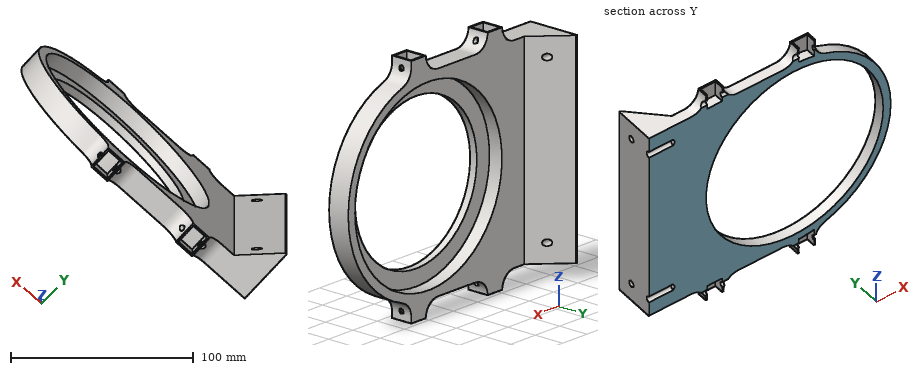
import cadquery as cq
import math

length = 165.8
plate_thickness = 14.1
ring_radius = 66.0
ring_x = length - ring_radius
bore_diameter = 100.0
recess_diameter = 120.8
lip_thickness = 5.0

flange_depth = 34.0
flange_tip_width = 1.0
flange_foot_x = flange_tip_width + flange_depth - plate_thickness
screw_diameter = 4.0
screw_z = 53.7
back_screw_y = 22.9
front_screw_depth = 16.5
drill_point_angle = 118.0

overall_height = 152.0
post_top_z = overall_height / 2
post_height = post_top_z - ring_radius
flare_radius = post_height
post_width = 12.1
post_centers_x = (45.1, 107.9)
socket_wall = 1.0
pin_diameter = 3.1
pin_below_top = 5.6
pin_z = post_top_z - pin_below_top
mid_y = plate_thickness / 2


def make_plate():
    """Rectangular body with a half-round right end."""
    body = cq.Workplane("XY").box(
        ring_x, plate_thickness, 2 * ring_radius, centered=(False, False, True)
    )
    ring = cq.Workplane("XZ", origin=(ring_x, 0, 0)).circle(ring_radius).extrude(-plate_thickness)
    return body.union(ring)


def make_flange():
    """Full-height wedge rising behind the left end of the plate."""
    return (
        cq.Workplane("XY", origin=(0, 0, -ring_radius))
        .polyline([
            (0, 0),
            (flange_foot_x, 0),
            (flange_foot_x, plate_thickness),
            (flange_tip_width, flange_depth),
            (0, flange_depth),
        ])
        .close()
        .extrude(2 * ring_radius)
    )


def flare_arc(center_x, side):
    """Return the top z, middle and foot of one flare; side is -1 for left, +1 for right."""
    flare_x = center_x + side * (post_width / 2 + flare_radius)
    offset = max(flare_x - ring_x, 0)
    if offset > 0:
        flare_z = math.sqrt((ring_radius + flare_radius) ** 2 - offset**2)
    else:
        flare_z = post_top_z
    lean = math.atan2(offset, flare_z)
    foot = (flare_x - flare_radius * math.sin(lean), flare_z - flare_radius * math.cos(lean))
    half_turn = (math.pi / 2 + lean) / 2
    middle = (
        flare_x - side * flare_radius * math.sin(half_turn),
        flare_z - flare_radius * math.cos(half_turn),
    )
    return flare_z, middle, foot


def make_post(center_x):
    """Upper hollow post with a flare on each side, rooted inside the plate."""
    left_x = center_x - post_width / 2
    right_x = center_x + post_width / 2
    _, left_middle, left_foot = flare_arc(center_x, -1)
    right_z, right_middle, right_foot = flare_arc(center_x, 1)
    root_z = recess_diameter / 2
    outline = (
        cq.Workplane("XZ")
        .moveTo(left_foot[0], root_z)
        .lineTo(*left_foot)
        .threePointArc(left_middle, (left_x, post_top_z))
        .lineTo(right_x, post_top_z)
    )
    if right_z < post_top_z:
        outline = outline.lineTo(right_x, right_z)
    post = (
        outline.threePointArc(right_middle, right_foot)
        .lineTo(right_foot[0], root_z)
        .close()
        .extrude(-plate_thickness)
    )
    socket_depth = post_top_z - root_z
    socket = cq.Workplane("XY").box(
        post_width - 2 * socket_wall,
        plate_thickness - 2 * socket_wall,
        socket_depth,
    ).translate((center_x, mid_y, post_top_z - socket_depth / 2))
    return post.cut(socket)


def make_pin_hole(center_x):
    """Cross hole through an upper post along X."""
    pin_length = post_width + 2 * flare_radius
    return (
        cq.Workplane("YZ", origin=(center_x - pin_length / 2, mid_y, pin_z))
        .circle(pin_diameter / 2)
        .extrude(pin_length)
    )


def make_screw_holes():
    """Upper pair: a through hole in the wedge and a blind drilled hole in the plate."""
    through = (
        cq.Workplane("YZ", origin=(0, back_screw_y, screw_z))
        .circle(screw_diameter / 2)
        .extrude(flange_foot_x)
    )
    radius = screw_diameter / 2
    point_length = radius / math.tan(math.radians(drill_point_angle / 2))
    blind = (
        cq.Workplane("XY", origin=(0, mid_y, screw_z))
        .polyline([
            (0, 0),
            (front_screw_depth + point_length, 0),
            (front_screw_depth, radius),
            (0, radius),
        ])
        .close()
        .revolve(360, (0, 0), (1, 0))
    )
    return through.union(blind)


def with_mirror(shape):
    """Add the copy below the mid-height plane."""
    return shape.union(shape.mirror("XY"))


result = make_plate().union(make_flange())
for x in post_centers_x:
    result = result.union(with_mirror(make_post(x)))
for x in post_centers_x:
    result = result.cut(with_mirror(make_pin_hole(x)))
result = result.cut(with_mirror(make_screw_holes()))

bore = cq.Workplane("XZ", origin=(ring_x, 0, 0)).circle(bore_diameter / 2).extrude(-plate_thickness)
recess = (
    cq.Workplane("XZ", origin=(ring_x, lip_thickness, 0))
    .circle(recess_diameter / 2)
    .extrude(lip_thickness - plate_thickness)
)
result = result.cut(bore).cut(recess)